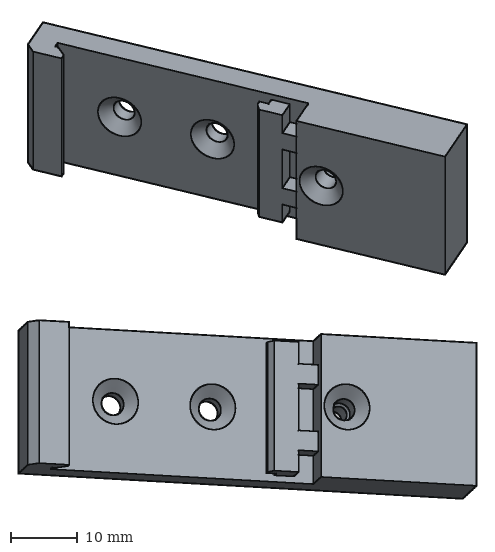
import cadquery as cq

length = 68.5
height = 22.0
plate_thickness = 4.0
block_thickness = 8.8
block_start = 44.5

hook_wall = 4.0
hook_reach = 6.0
hook_depth = 7.4
hook_chamfer = 1.4
hook_undercut_depth = 4.9
hook_tip_depth = 6.5
hook_undercut_step = hook_reach - hook_wall - (hook_tip_depth - hook_undercut_depth)

latch_tip = 37.0
latch_neck = 38.5
latch_end = 41.5
latch_depth = 7.0
latch_lip_depth = 5.1
latch_bevel_start_depth = 5.8
latch_bevel_width = 0.75
latch_end_clearance = 1.0
arm_width = 3.05
arm_spacing = 10.25

countersink_diameter = 7.0
plate_hole_diameter = 3.4
plate_hole_positions = (14.0, 29.0)
block_hole_position = 48.5
clearance_diameter = 3.3
pilot_diameter = 2.5
plate_sink_depth = (countersink_diameter - plate_hole_diameter) / 2
block_sink_depth = (countersink_diameter - clearance_diameter) / 2
pilot_taper_depth = (clearance_diameter - pilot_diameter) / 2


def extrude_profile(points, z_start, z_length):
    """Extrude an outline given as (x, depth in front of the back face)."""
    outline = [(x, -depth) for x, depth in points]
    return cq.Workplane("XY").workplane(offset=z_start).polyline(outline).close().extrude(z_length)


def make_body():
    """Plate with the hook at one end and the thick block at the other."""
    points = [
        (0, 0),
        (length, 0),
        (length, block_thickness),
        (block_start, block_thickness),
        (block_start, plate_thickness),
        (hook_wall, plate_thickness),
        (hook_wall, hook_undercut_depth),
        (hook_wall + hook_undercut_step, hook_undercut_depth),
        (hook_reach, hook_tip_depth),
        (hook_reach, hook_depth),
        (hook_chamfer, hook_depth),
        (0, hook_depth - hook_chamfer),
    ]
    return extrude_profile(points, 0, height)


def make_latch_bar():
    """Upright bar with a lip facing the hook."""
    points = [
        (latch_neck, plate_thickness),
        (latch_end, plate_thickness),
        (latch_end, latch_depth),
        (latch_tip + latch_bevel_width, latch_depth),
        (latch_tip, latch_bevel_start_depth),
        (latch_tip, latch_lip_depth),
        (latch_neck, latch_lip_depth),
    ]
    return extrude_profile(points, latch_end_clearance, height - 2 * latch_end_clearance)


def make_arm(z_center):
    """Bridge from the latch bar to the step of the thick block."""
    points = [
        (latch_end, plate_thickness),
        (block_start, plate_thickness),
        (block_start, latch_depth),
        (latch_end, latch_depth),
    ]
    return extrude_profile(points, z_center - arm_width / 2, arm_width)


def revolve_cutter(profile, x):
    """Revolve a (radius, depth) outline about the hole axis and place it at mid height."""
    outline = [(radius, -depth) for radius, depth in profile]
    cutter = cq.Workplane("XY").polyline(outline).close().revolve(360, (0, 0, 0), (0, 1, 0))
    return cutter.translate((x, 0, height / 2))


def cut_plate_hole(body, x):
    """Countersunk hole of one diameter through the plate."""
    profile = [
        (0, 0),
        (plate_hole_diameter / 2, 0),
        (plate_hole_diameter / 2, plate_thickness - plate_sink_depth),
        (countersink_diameter / 2, plate_thickness),
        (0, plate_thickness),
    ]
    return body.cut(revolve_cutter(profile, x))


def cut_block_hole(body, x):
    """Countersunk clearance hole that narrows conically to a pilot bore at the back."""
    profile = [
        (0, 0),
        (pilot_diameter / 2, 0),
        (pilot_diameter / 2, plate_thickness - pilot_taper_depth),
        (clearance_diameter / 2, plate_thickness),
        (clearance_diameter / 2, block_thickness - block_sink_depth),
        (countersink_diameter / 2, block_thickness),
        (0, block_thickness),
    ]
    return body.cut(revolve_cutter(profile, x))


result = make_body().union(make_latch_bar())
for side in (-1, 1):
    result = result.union(make_arm(height / 2 + side * arm_spacing / 2))
for hole_x in plate_hole_positions:
    result = cut_plate_hole(result, hole_x)
result = cut_block_hole(result, block_hole_position)